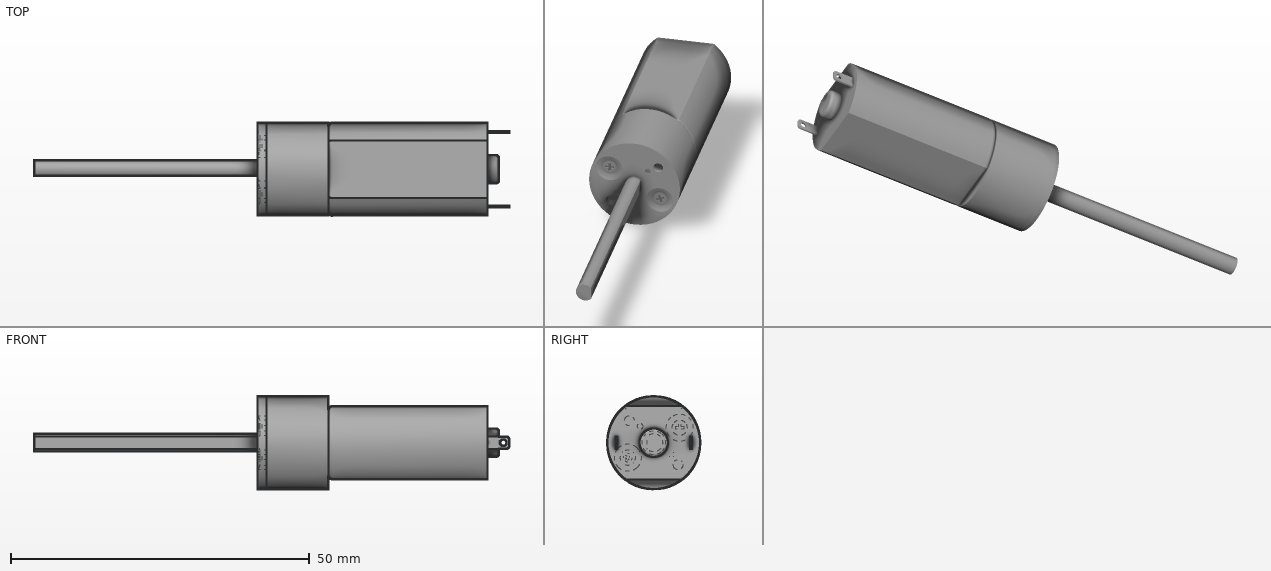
import cadquery as cq
import math


total_length = 79.6
body_diameter = 15.6
shaft_length = 37.4

plate_thickness = 1.5
gearbox_end = 11.9
motor_end = 38.5
terminal_end = total_length - shaft_length

shaft_radius = 1.5
shaft_flat_distance = 1.1
collar_diameter = 4.0

screw_circle_radius = 5.0
screw_angle = 30.0
screw_spacing = 180.0
screw_diameter = 2.55
countersink_diameter = 4.5
countersink_depth = 0.4
screw_slot_length = 1.4
screw_slot_width = 0.4
screw_slot_depth = 0.3
screw_slot_turns = (0.0, 70.0)

hole_angle = 138.0
hole_diameter = 1.7
hole_circle_radius = 5.5
dimple_diameter = 0.95
dimple_circle_radius = 3.6
dimple_offset_angle = 8.3
dimple_depth = 0.2

motor_height = 12.25
front_fillet = 0.7
boss_diameter = 4.8
boss_length = 1.9
boss_fillet = 0.55

terminal_width = 2.1
terminal_thickness = 0.3
terminal_spacing = 12.5
terminal_corner_radius = 0.55
eyelet_diameter = 1.0
eyelet_end_distance = 1.0


def cylinder(diameter, start, end, y=0.0, z=0.0):
    """Cylinder parallel to X between two stations."""
    plane = cq.Workplane("YZ", origin=(start, y, z))
    return plane.circle(diameter / 2).extrude(end - start)


def on_circle(radius, angle):
    """Y and Z of a point on a circle about the X axis, the angle running from +Y to +Z."""
    radians = math.radians(angle)
    return radius * math.cos(radians), radius * math.sin(radians)


screw_places = [on_circle(screw_circle_radius, screw_angle + i * screw_spacing) for i in range(2)]


def make_shaft():
    """D-shaped output shaft with a collar that fills the bore of the front plate."""
    flat_cutter = (
        cq.Workplane("XY")
        .box(shaft_length, shaft_radius, 2 * shaft_radius)
        .translate((-shaft_length / 2, -shaft_flat_distance - shaft_radius / 2, 0))
    )
    shaft = cylinder(2 * shaft_radius, -shaft_length, 0).cut(flat_cutter)
    return shaft.union(cylinder(collar_diameter, 0, plate_thickness))


def make_plate():
    """Front plate with the shaft bore, two countersunk screw holes, two holes and two dimples."""
    plate = cylinder(body_diameter, 0, plate_thickness)
    plate = plate.cut(cylinder(collar_diameter, 0, plate_thickness))
    for y, z in screw_places:
        countersink = cq.Solid.makeCone(
            countersink_diameter / 2,
            screw_diameter / 2,
            countersink_depth,
            pnt=cq.Vector(0, y, z),
            dir=cq.Vector(1, 0, 0),
        )
        plate = plate.cut(cq.Workplane(countersink))
        plate = plate.cut(cylinder(screw_diameter, 0, plate_thickness, y, z))
    for side_angle, offset in ((0, -dimple_offset_angle), (180, dimple_offset_angle)):
        angle = hole_angle + side_angle
        hole_place = on_circle(hole_circle_radius, angle)
        dimple_place = on_circle(dimple_circle_radius, angle + offset)
        plate = plate.cut(cylinder(hole_diameter, 0, plate_thickness, *hole_place))
        plate = plate.cut(cylinder(dimple_diameter, 0, dimple_depth, *dimple_place))
    return plate


def make_screw(place, slot_turn):
    """Screw at the bottom of a countersink, with a cross recess turned about its axis."""
    screw = cylinder(screw_diameter, countersink_depth, plate_thickness, *place)
    for turn in (slot_turn, slot_turn + 90):
        slot = (
            cq.Workplane("YZ", origin=(countersink_depth, *place))
            .transformed(rotate=(0, 0, turn))
            .rect(screw_slot_length, screw_slot_width)
            .extrude(screw_slot_depth)
        )
        screw = screw.cut(slot)
    return screw


def make_gearbox():
    """Plain round gearbox between the front plate and the motor."""
    return cylinder(body_diameter, plate_thickness, gearbox_end)


def make_terminal(y):
    """Flat terminal with rounded end corners and an eyelet."""
    length = terminal_end - motor_end
    blade = cq.Workplane("XY").box(length, terminal_thickness, terminal_width)
    blade = blade.translate((motor_end + length / 2, y, 0))
    blade = blade.edges("|Y and >X").fillet(terminal_corner_radius)
    eyelet = (
        cq.Workplane("XZ", origin=(terminal_end - eyelet_end_distance, y + terminal_thickness / 2, 0))
        .circle(eyelet_diameter / 2)
        .extrude(terminal_thickness)
    )
    return blade.cut(eyelet)


def make_motor():
    """Round motor can with two flats, a rounded front edge, a rear boss and two terminals."""
    can_length = motor_end - gearbox_end
    flats = cq.Workplane("XY").box(can_length, body_diameter, motor_height)
    flats = flats.translate((gearbox_end + can_length / 2, 0, 0))
    motor = cylinder(body_diameter, gearbox_end, motor_end).intersect(flats)
    motor = motor.faces("<X").edges().fillet(front_fillet)

    boss = cylinder(boss_diameter, motor_end, motor_end + boss_length)
    motor = motor.union(boss.faces(">X").edges().fillet(boss_fillet))
    for side in (-1, 1):
        motor = motor.union(make_terminal(side * terminal_spacing / 2))
    return motor


shaft = make_shaft()
plate = make_plate()
gearbox = make_gearbox()
motor = make_motor()
screws = [make_screw(place, turn) for place, turn in zip(screw_places, screw_slot_turns)]

result = cq.Compound.makeCompound(
    [shaft.val(), plate.val(), gearbox.val(), motor.val(), *[screw.val() for screw in screws]]
)